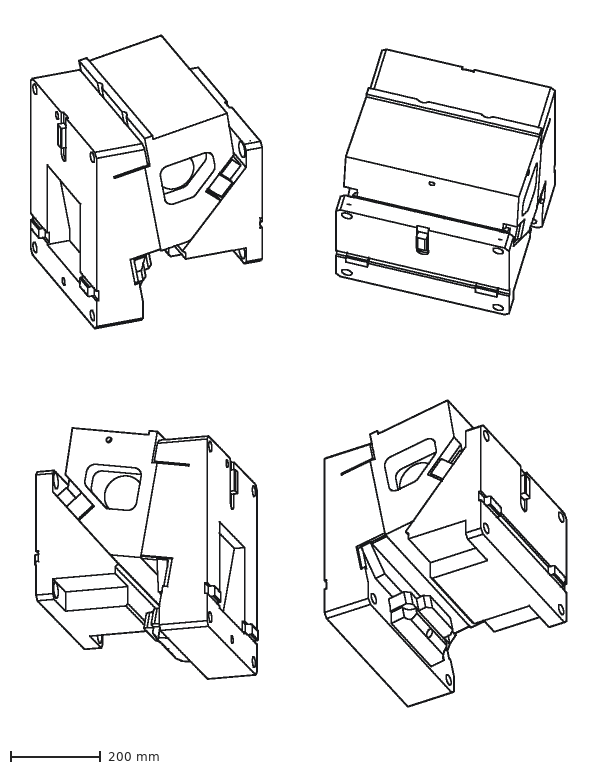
import cadquery as cq
import math

WIDTH = 400.0
HALF_WIDTH = WIDTH / 2
HEIGHT = 488.0
DEPTH = 397.5
KEY_PROUD = 10.2
CORNER_CHAMFER = 10.2
MARGIN = 5.0

BOLT_X = 174.5
BOLT_RADIUS = 11.5
BOLT_TOP_INSET = 20.0
BOLT_BOTTOM_INSET = 26.0
SMALL_HOLE_RADIUS = 8.5
SMALL_HOLE_TOP_X = -40.0

KEYWAY_DEPTH = 5.5
KEYWAY_WIDTH = 27.5
KEYWAY_LENGTH = 113.5
CENTRE_KEY_WIDTH = 23.5
CENTRE_KEY_HEIGHT = 50.0
CENTRE_KEY_TOP_INSET = 26.0
CROSS_KEY_LENGTH = 49.5
CROSS_KEY_X = 149.5
CROSS_KEY_HEIGHT = 24.5
KEY_CHAMFER_FACE = 3.5
KEY_CHAMFER_SIDE = 1.5

TILT = math.radians(10)
BLOCK_REAR_Y = 313.5
BLOCK_FRAME = cq.Plane(
    origin=(0, BLOCK_REAR_Y, HEIGHT),
    xDir=(1, 0, 0),
    normal=(0, math.sin(TILT), -math.cos(TILT)),
)

SLOPE = math.radians(50)
PLATE_THICKNESS = 39.0
PLATE_FRONT = DEPTH - PLATE_THICKNESS
SLOPE_TOP_Z = 342.5

BLOCK_LENGTH = 211.5
BLOCK_DROP = 284.5
BLOCK_UPPER_LENGTH = 199.0
BLOCK_STEP_DROP = 63.5
LIP_LENGTH = 19.0
LIP_HEIGHT = 9.5
FOOT_TOP_ALONG = 6.0
FOOT_HEIGHT = 28.5
FOOT_END_ALONG = 206.0
BOTTOM_EDGE_FORE = 146.0
SCALLOP_X = 74.0
SCALLOP_RADIUS = 17.0
SCALLOP_DEPTH = 6.0
GUIDE_END_ALONG = 94.0
GUIDE_NECK_HEIGHT = 46.5
GUIDE_NECK_HALF_WIDTH = 168.5
GUIDE_FOOT_HALF_WIDTH = 178.5
CLAMP_START_ALONG = 46.5
CLAMP_END_ALONG = 88.0
CLAMP_HALF_WIDTH = 193.5
FOOT_GROOVE_WIDTH = 68.0
FOOT_GROOVE_DEPTH = 1.5
BORE_FORE = 129.5
BORE_DROP = 130.5
BORE_RADIUS = 45.0
WINDOW_DEPTH = 51.5
WINDOW_REAR = 50.7
WINDOW_FRONT = 179.5
WINDOW_TOP = 79.0
WINDOW_BOTTOM = 178.5
WINDOW_SLANT_TOP = 127.5
WINDOW_RADIUS = 19.5
PIN_HOLE_RADIUS = 6.0
PIN_HOLE_DEPTH = 19.5
SIDE_PIN_FORE = 90.0
SIDE_PIN_DROP = 20.0
REAR_PIN_DROP = 25.5

FRONT_HEIGHT = 445.0
FRONT_BASE_DEPTH = 111.5
STEP_CLEARANCE = 3.5
UPPER_GAP = 5.0
LOWER_FACE_FORE = 274.0
SLIT_END_FORE = 285.5
RELIEF_DEPTH = 7.5
RELIEF_TOP = 279.0
RELIEF_BOTTOM = 345.5
RELIEF_FORE = 285.0
FRONT_KEYWAY_Z = 74.5
RECESS_HALF_WIDTH = 100.0
RECESS_BOTTOM = 70.0
RECESS_KNEE = 101.0
RECESS_TOP = 271.0
RECESS_DEPTH = 53.5
RIB_REAR = 250.0
RIB_BOTTOM = 346.0
RIB_HALF_WIDTH = 200.0
RIB_LOW_HALF_WIDTH = 151.5
NOSE_TOP = 370.5
NOSE_BOTTOM = 406.0
NOSE_REAR = 195.0
NOSE_SHOULDER = 224.0
NOSE_CHAMFER = 11.0
NOSE_HALF_WIDTH = 58.5
NOSE_ROOT_HALF_WIDTH = 97.5
LUG_HALF_WIDTH = 92.5
LUG_REAR = 225.5
LUG_SHOULDER = 248.0
LUG_BOTTOM = 435.5
LUG_BEVEL = 15.0
LUG_ROOT = 288.0

REAR_BOTTOM = 94.0
REAR_TOP = 395.5
REAR_KEYWAY_Z = 183.0
REAR_FRONT_Y = 213.5
REAR_TIP_ALONG = 237.0
REAR_UNDERCUT_TOP = 139.0
REAR_FOOT_HALF_WIDTH = 97.5
REAR_FOOT_CHAMFER = 5.0
COUNTERBORE_RADIUS = 18.0
COUNTERBORE_DEPTH = 19.5


def in_block(fore, drop):
    """(Y, Z) of a point given in the block frame."""
    y = BLOCK_REAR_Y - fore * math.cos(TILT) + drop * math.sin(TILT)
    z = HEIGHT - fore * math.sin(TILT) - drop * math.cos(TILT)
    return y, z


def on_slope(along, out):
    """(Y, Z) of a point given in the slope frame."""
    y = PLATE_FRONT - along * math.cos(SLOPE) - out * math.sin(SLOPE)
    z = SLOPE_TOP_Z - along * math.sin(SLOPE) + out * math.cos(SLOPE)
    return y, z


def prism(points, half_width):
    """Side outline of (Y, Z) points, extruded equally to both sides of X = 0."""
    return cq.Workplane("YZ").polyline(points).close().extrude(half_width, both=True)


def side_pair(points, inner_half_width):
    """Two prisms filling the space from inner_half_width out past the sides."""
    return prism(points, HALF_WIDTH + MARGIN).cut(prism(points, inner_half_width))


def block_rect(rear, front, top, bottom):
    """Corner points of a rectangle in the block frame."""
    return [in_block(rear, top), in_block(front, top), in_block(front, bottom), in_block(rear, bottom)]


def slope_rect(start, end, low, high):
    """Corner points of a rectangle in the slope frame."""
    return [on_slope(start, low), on_slope(end, low), on_slope(end, high), on_slope(start, high)]


def box(x_range, y_range, z_range):
    """Box from the low and high limits of each axis."""
    low = cq.Vector(x_range[0], y_range[0], z_range[0])
    high = cq.Vector(x_range[1], y_range[1], z_range[1])
    size = high - low
    return cq.Workplane("XY").box(size.x, size.y, size.z, centered=False).translate(low)


def plate(bottom, top, depth):
    """Chamfered mounting plate with its face on Y = 0."""
    blank = box((-HALF_WIDTH, HALF_WIDTH), (0, depth), (bottom, top))
    return blank.edges("|Y").chamfer(CORNER_CHAMFER)


def drill(x, z, radius, start=-MARGIN):
    """Round cutter along Y from start through the rest of a bracket."""
    return cq.Workplane("XZ", origin=(x, start, z)).circle(radius).extrude(-DEPTH)


def bolt_holes(bottom, top, radius=BOLT_RADIUS, start=-MARGIN):
    """Round cutters at the four corner bolts."""
    holes = cq.Workplane("XY")
    for x in (-BOLT_X, BOLT_X):
        for z in (bottom + BOLT_BOTTOM_INSET, top - BOLT_TOP_INSET):
            holes = holes.add(drill(x, z, radius, start))
    return holes.combine()


def keyways(top, cross_z):
    """Central keyway open at the top and a cross keyway over the full width, in Y = 0."""
    radius = KEYWAY_WIDTH / 2
    round_z = top - KEYWAY_LENGTH + radius
    centre = box((-radius, radius), (-MARGIN, KEYWAY_DEPTH), (round_z, top + MARGIN))
    end = cq.Workplane("XZ", origin=(0, -MARGIN, round_z)).circle(radius).extrude(-(KEYWAY_DEPTH + MARGIN))
    reach = HALF_WIDTH + MARGIN
    cross = box((-reach, reach), (-MARGIN, KEYWAY_DEPTH), (cross_z, cross_z + CROSS_KEY_HEIGHT))
    return centre.union(end).union(cross)


def keys(top, cross_z):
    """One upright key and two cross keys standing out of the face Y = 0."""
    key_top = top - CENTRE_KEY_TOP_INSET
    half_key = CENTRE_KEY_WIDTH / 2
    depth_range = (-KEY_PROUD, KEYWAY_DEPTH)
    centre = box((-half_key, half_key), depth_range, (key_top - CENTRE_KEY_HEIGHT, key_top))
    centre = centre.faces("<Y").edges("|Z").chamfer(KEY_CHAMFER_SIDE, KEY_CHAMFER_FACE)
    all_keys = centre
    for x in (-CROSS_KEY_X, CROSS_KEY_X):
        half_key = CROSS_KEY_LENGTH / 2
        cross = box((x - half_key, x + half_key), depth_range, (cross_z, cross_z + CROSS_KEY_HEIGHT))
        cross = cross.faces("<Y").edges("|X").chamfer(KEY_CHAMFER_SIDE, KEY_CHAMFER_FACE)
        all_keys = all_keys.union(cross)
    return all_keys


def to_rear_face(shape):
    """Mirror a shape made on Y = 0 onto the rear mounting face."""
    return shape.mirror("XZ").translate((0, DEPTH, 0))


def nose():
    """Stepped nose with chamfered corners, reaching back under the block."""
    outline = [
        (NOSE_ROOT_HALF_WIDTH, LUG_ROOT),
        (NOSE_ROOT_HALF_WIDTH, NOSE_SHOULDER + NOSE_CHAMFER),
        (NOSE_ROOT_HALF_WIDTH - NOSE_CHAMFER, NOSE_SHOULDER),
        (NOSE_HALF_WIDTH, NOSE_SHOULDER),
        (NOSE_HALF_WIDTH, NOSE_REAR + NOSE_CHAMFER),
        (NOSE_HALF_WIDTH - NOSE_CHAMFER, NOSE_REAR),
    ]
    outline += [(-x, fore) for x, fore in reversed(outline)]
    plane = cq.Workplane(BLOCK_FRAME).workplane(offset=NOSE_TOP)
    return plane.polyline(outline).close().extrude(NOSE_BOTTOM - NOSE_TOP)


def lug():
    """Lug below the nose: a narrow end flared into wide shoulders by hollow rounds."""
    flare = LUG_SHOULDER - LUG_REAR
    end_half_width = LUG_HALF_WIDTH - flare
    mid = flare * (1 - math.sqrt(0.5))
    solid = (
        cq.Workplane(BLOCK_FRAME)
        .workplane(offset=NOSE_BOTTOM)
        .moveTo(-LUG_HALF_WIDTH, LUG_ROOT)
        .lineTo(-LUG_HALF_WIDTH, LUG_SHOULDER)
        .threePointArc((-end_half_width - mid, LUG_SHOULDER - mid), (-end_half_width, LUG_REAR))
        .lineTo(end_half_width, LUG_REAR)
        .threePointArc((end_half_width + mid, LUG_SHOULDER - mid), (LUG_HALF_WIDTH, LUG_SHOULDER))
        .lineTo(LUG_HALF_WIDTH, LUG_ROOT)
        .close()
        .extrude(LUG_BOTTOM - NOSE_BOTTOM)
    )
    bevel = [
        in_block(LUG_REAR, LUG_BOTTOM - LUG_BEVEL),
        in_block(LUG_REAR, LUG_BOTTOM),
        in_block(LUG_REAR + LUG_BEVEL, LUG_BOTTOM),
    ]
    return solid.cut(prism(bevel, HALF_WIDTH))


def rib():
    """Rib below the block whose sides draw in towards the bottom."""
    outline = [
        (-RIB_HALF_WIDTH, BLOCK_DROP),
        (RIB_HALF_WIDTH, BLOCK_DROP),
        (RIB_LOW_HALF_WIDTH, RIB_BOTTOM),
        (-RIB_LOW_HALF_WIDTH, RIB_BOTTOM),
    ]
    face = cq.Plane(
        origin=(0, *in_block(RIB_REAR, 0)),
        xDir=(-1, 0, 0),
        normal=(0, -math.cos(TILT), -math.sin(TILT)),
    )
    return cq.Workplane(face).polyline(outline).close().extrude(LOWER_FACE_FORE - RIB_REAR)


def front_profile():
    """Side outline of the front bracket, leaning with the block at the back."""
    step_drop = BLOCK_STEP_DROP - STEP_CLEARANCE
    upper_fore = BLOCK_UPPER_LENGTH + UPPER_GAP
    base_y, _ = in_block(LOWER_FACE_FORE, 0)
    lower_drop = (FRONT_BASE_DEPTH - base_y) / math.sin(TILT)
    _, upper_z = in_block(upper_fore, 0)
    upper_drop = (upper_z - FRONT_HEIGHT) / math.cos(TILT)
    return [
        (0, 0),
        (FRONT_BASE_DEPTH, 0),
        in_block(LOWER_FACE_FORE, lower_drop),
        in_block(LOWER_FACE_FORE, BLOCK_DROP),
        in_block(BLOCK_LENGTH, BLOCK_DROP),
        in_block(BLOCK_LENGTH, step_drop),
        in_block(upper_fore, step_drop),
        in_block(upper_fore, upper_drop),
        (0, FRONT_HEIGHT),
    ]


def front_recess():
    """Large recess in the mounting face with a leaning back wall."""
    top_depth = RECESS_DEPTH - (RECESS_TOP - RECESS_KNEE) * math.tan(TILT)
    outline = [
        (-MARGIN, RECESS_BOTTOM),
        (RECESS_DEPTH, RECESS_BOTTOM),
        (RECESS_DEPTH, RECESS_KNEE),
        (top_depth, RECESS_TOP),
        (-MARGIN, RECESS_TOP),
    ]
    return prism(outline, RECESS_HALF_WIDTH)


def make_front_bracket():
    body = prism(front_profile(), HALF_WIDTH)
    body = body.intersect(plate(0, FRONT_HEIGHT, DEPTH))
    step_drop = BLOCK_STEP_DROP - STEP_CLEARANCE
    slit = block_rect(BLOCK_LENGTH - MARGIN, SLIT_END_FORE, step_drop, BLOCK_STEP_DROP)
    step_relief = block_rect(BLOCK_LENGTH - MARGIN, RELIEF_FORE, RELIEF_TOP, BLOCK_DROP)
    face_relief = block_rect(LOWER_FACE_FORE - MARGIN, RELIEF_FORE, BLOCK_DROP, RELIEF_BOTTOM)
    for relief in (slit, step_relief, face_relief):
        body = body.cut(side_pair(relief, HALF_WIDTH - RELIEF_DEPTH))
    body = body.union(rib()).union(nose()).union(lug())
    body = body.cut(bolt_holes(0, FRONT_HEIGHT))
    body = body.cut(drill(0, BOLT_BOTTOM_INSET, SMALL_HOLE_RADIUS))
    body = body.cut(drill(SMALL_HOLE_TOP_X, FRONT_HEIGHT - BOLT_TOP_INSET, SMALL_HOLE_RADIUS))
    body = body.cut(keyways(FRONT_HEIGHT, FRONT_KEYWAY_Z))
    body = body.union(keys(FRONT_HEIGHT, FRONT_KEYWAY_Z))
    return body.cut(front_recess())


def make_rear_bracket():
    tip = on_slope(REAR_TIP_ALONG, 0)
    tip_back = (REAR_FRONT_Y - tip[0]) / math.sin(SLOPE)
    upper = [
        (PLATE_FRONT, SLOPE_TOP_Z),
        tip,
        on_slope(REAR_TIP_ALONG, -tip_back),
        (REAR_FRONT_Y, REAR_UNDERCUT_TOP),
        (PLATE_FRONT, REAR_UNDERCUT_TOP),
    ]
    foot = [
        (PLATE_FRONT, REAR_UNDERCUT_TOP),
        (REAR_FRONT_Y, REAR_UNDERCUT_TOP),
        (REAR_FRONT_Y, REAR_BOTTOM + REAR_FOOT_CHAMFER),
        (REAR_FRONT_Y + REAR_FOOT_CHAMFER, REAR_BOTTOM),
        (PLATE_FRONT, REAR_BOTTOM),
    ]
    back_plate = plate(REAR_BOTTOM, REAR_TOP, PLATE_THICKNESS)
    back_plate = back_plate.cut(bolt_holes(REAR_BOTTOM, REAR_TOP))
    bore_start = PLATE_THICKNESS - COUNTERBORE_DEPTH
    back_plate = back_plate.cut(bolt_holes(REAR_BOTTOM, REAR_TOP, COUNTERBORE_RADIUS, bore_start))
    back_plate = back_plate.cut(keyways(REAR_TOP, REAR_KEYWAY_Z))
    back_plate = back_plate.union(keys(REAR_TOP, REAR_KEYWAY_Z))
    wedge = prism(upper, HALF_WIDTH).union(prism(foot, REAR_FOOT_HALF_WIDTH))
    return to_rear_face(back_plate).union(wedge)


def block_profile():
    """Side outline of the block, with its foot resting on the slope."""
    foot_corner = on_slope(FOOT_TOP_ALONG, FOOT_HEIGHT)
    return [
        in_block(0, 0),
        in_block(BLOCK_UPPER_LENGTH - LIP_LENGTH, 0),
        in_block(BLOCK_UPPER_LENGTH - LIP_LENGTH, -LIP_HEIGHT),
        in_block(BLOCK_UPPER_LENGTH, -LIP_HEIGHT),
        in_block(BLOCK_UPPER_LENGTH, BLOCK_STEP_DROP),
        in_block(BLOCK_LENGTH, BLOCK_STEP_DROP),
        in_block(BLOCK_LENGTH, BLOCK_DROP),
        in_block(BOTTOM_EDGE_FORE, BLOCK_DROP),
        on_slope(FOOT_END_ALONG, 0),
        on_slope(FOOT_TOP_ALONG, 0),
        foot_corner,
    ]


def guide_cuts():
    """Stepped side rebates that leave a T-shaped guide above the slope."""
    start = -CLAMP_START_ALONG
    foot = side_pair(slope_rect(start, GUIDE_END_ALONG, 0, FOOT_HEIGHT), GUIDE_FOOT_HALF_WIDTH)
    neck = slope_rect(start, GUIDE_END_ALONG, FOOT_HEIGHT, GUIDE_NECK_HEIGHT)
    return foot.union(side_pair(neck, GUIDE_NECK_HALF_WIDTH))


def window():
    """Outline of the side pockets around the bore, extruded over the full width."""
    slant_run = (WINDOW_BOTTOM - WINDOW_SLANT_TOP) / math.tan(SLOPE - TILT)
    outline = [
        in_block(WINDOW_REAR, WINDOW_TOP),
        in_block(WINDOW_FRONT, WINDOW_TOP),
        in_block(WINDOW_FRONT, WINDOW_BOTTOM),
        in_block(WINDOW_REAR + slant_run, WINDOW_BOTTOM),
        in_block(WINDOW_REAR, WINDOW_SLANT_TOP),
    ]
    return prism(outline, HALF_WIDTH + MARGIN).edges("|X").fillet(WINDOW_RADIUS)


def side_drill(fore, drop, radius):
    """Round cutter along X, starting at the -X side and longer than the block is wide."""
    y, z = in_block(fore, drop)
    return cq.Workplane("YZ", origin=(-HALF_WIDTH - MARGIN, y, z)).circle(radius)


def scallops():
    """Two round flutes running down the upper front face."""
    centre = BLOCK_UPPER_LENGTH + SCALLOP_RADIUS - SCALLOP_DEPTH
    plane = cq.Workplane(BLOCK_FRAME).workplane(offset=-LIP_HEIGHT - MARGIN)
    flutes = plane.pushPoints([(-SCALLOP_X, centre), (SCALLOP_X, centre)]).circle(SCALLOP_RADIUS)
    return flutes.extrude(BLOCK_STEP_DROP + LIP_HEIGHT + MARGIN)


def rear_pin_hole():
    """Small blind hole in the middle of the rear face."""
    plane = cq.Plane(
        origin=(0, *in_block(-MARGIN, REAR_PIN_DROP)),
        xDir=(1, 0, 0),
        normal=(0, -math.cos(TILT), -math.sin(TILT)),
    )
    return cq.Workplane(plane).circle(PIN_HOLE_RADIUS).extrude(PIN_HOLE_DEPTH + MARGIN)


def make_block():
    body = prism(block_profile(), HALF_WIDTH)
    body = body.cut(guide_cuts())
    clamp = slope_rect(CLAMP_START_ALONG, CLAMP_END_ALONG, 0, GUIDE_NECK_HEIGHT)
    body = body.union(prism(clamp, CLAMP_HALF_WIDTH))
    groove = slope_rect(-MARGIN, FOOT_TOP_ALONG + FOOT_GROOVE_DEPTH, 0, FOOT_HEIGHT)
    body = body.cut(prism(groove, FOOT_GROOVE_WIDTH / 2))
    body = body.cut(window().cut(prism(block_profile(), HALF_WIDTH - WINDOW_DEPTH)))
    body = body.cut(side_drill(BORE_FORE, BORE_DROP, BORE_RADIUS).extrude(WIDTH + 2 * MARGIN))
    body = body.cut(side_drill(SIDE_PIN_FORE, SIDE_PIN_DROP, PIN_HOLE_RADIUS).extrude(PIN_HOLE_DEPTH + MARGIN))
    return body.cut(rear_pin_hole()).cut(scallops())


front_bracket = make_front_bracket().solids()
rear_bracket = make_rear_bracket().solids()
block = make_block().solids()

result = cq.Compound.makeCompound([front_bracket.val(), rear_bracket.val(), block.val()])